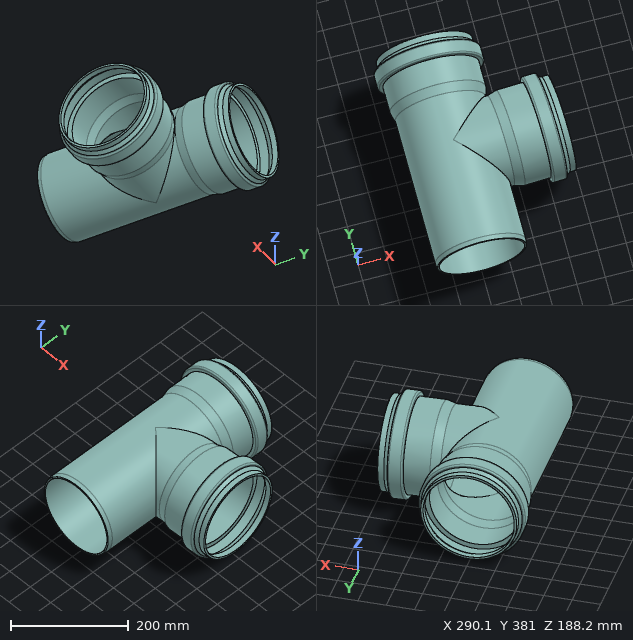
import cadquery as cq
import math

pipe_outer_r = 160 / 2
pipe_bore_r = 150.0 / 2
socket_outer_r = 169.5 / 2
socket_bore_r = 160.8 / 2
collar_outer_r = 188.2 / 2
seal_groove_r = 179.5 / 2
collar_shoulder_r = 89.0

lip_depth = 11.0
collar_start = 18.3
collar_end = 45.0
socket_depth = 91.5
taper_end = 108.5
collar_round = 3.0

run_length = 381
run_mouth_y = run_length / 2
branch_y = -2.3
branch_length = 192.5
branch_tilt = 2.5
spigot_chamfer_length = 8.0
spigot_chamfer_depth = 2.0

collar_wall = collar_outer_r - seal_groove_r
groove_start = collar_start + collar_wall
groove_end = collar_end - collar_wall


def revolve_about_y(profile):
    return profile.close().revolve(360, (0, 0, 0), (0, 1, 0))


def socketed_pipe_outer(start, mouth):
    """Solid pipe along Y whose socket mouth is at the +Y end."""
    corner = collar_round * (1 - math.sqrt(0.5))
    top_face = mouth - collar_start
    bottom_face = mouth - collar_end
    flat_r = collar_outer_r - collar_round
    profile = (
        cq.Workplane("XY")
        .moveTo(0, start)
        .lineTo(pipe_outer_r, start)
        .lineTo(pipe_outer_r, mouth - taper_end)
        .lineTo(socket_outer_r, mouth - socket_depth)
        .lineTo(socket_outer_r, bottom_face)
        .lineTo(flat_r, bottom_face)
        .threePointArc((collar_outer_r - corner, bottom_face + corner),
                       (collar_outer_r, bottom_face + collar_round))
        .lineTo(collar_outer_r, top_face - collar_round)
        .threePointArc((collar_outer_r - corner, top_face - corner), (flat_r, top_face))
        .lineTo(collar_shoulder_r, top_face)
        .lineTo(socket_outer_r, mouth - lip_depth)
        .lineTo(socket_outer_r, mouth)
        .lineTo(0, mouth)
    )
    return revolve_about_y(profile)


def socketed_pipe_bore(start, mouth):
    """Bore along Y with the wider socket and its seal groove at the +Y end."""
    profile = (
        cq.Workplane("XY")
        .moveTo(0, start)
        .lineTo(pipe_bore_r, start)
        .lineTo(pipe_bore_r, mouth - taper_end)
        .lineTo(socket_bore_r, mouth - socket_depth)
        .lineTo(socket_bore_r, mouth - groove_end)
        .lineTo(seal_groove_r, mouth - groove_end)
        .lineTo(seal_groove_r, mouth - groove_start)
        .lineTo(socket_bore_r, mouth - lip_depth)
        .lineTo(socket_bore_r, mouth)
        .lineTo(0, mouth)
    )
    return revolve_about_y(profile)


def place_branch(body):
    """Turn a body from +Y towards +X and move it to the branch point."""
    return body.rotate((0, 0, 0), (0, 0, 1), branch_tilt - 90).translate((0, branch_y, 0))


def spigot_chamfer():
    """Ring that bevels the outer edge of the plain end."""
    end = -run_length / 2
    profile = (
        cq.Workplane("XY")
        .moveTo(pipe_outer_r - spigot_chamfer_depth, end)
        .lineTo(pipe_outer_r, end)
        .lineTo(pipe_outer_r, end + spigot_chamfer_length)
    )
    return revolve_about_y(profile)


run_outer = socketed_pipe_outer(-run_length / 2, run_mouth_y).cut(spigot_chamfer())
run_bore = socketed_pipe_bore(-run_length / 2, run_mouth_y)

branch_outer = place_branch(socketed_pipe_outer(0, branch_length))
branch_bore = place_branch(socketed_pipe_bore(0, branch_length))

result = run_outer.union(branch_outer).cut(run_bore).cut(branch_bore)